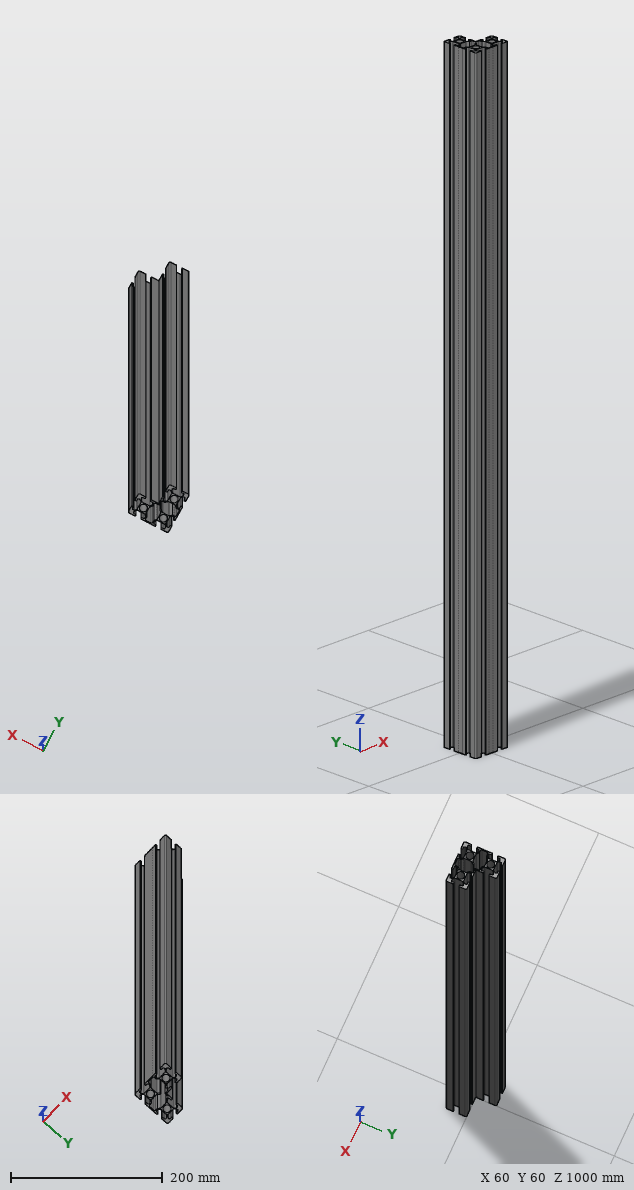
import cadquery as cq
import math


CELL = 30.0
LENGTH = 1000.0
CORNER_RADIUS = 2.0

SLOT_OPENING = 8.1
SLOT_DEPTH = 8.5
MOUTH_CHAMFER = 0.35
LIP_THICKNESS = 2.5
LIP_RADIUS = 0.5
CAVITY_WIDTH = 16.5
CAVITY_STRAIGHT = 3.0
CAVITY_RADIUS = 1.25
FLOOR_WIDTH = 12.0
FLOOR_RADIUS = 1.0

BORE_DIAMETER = 10.5
WALL = 1.5
CHAMBER_END_WIDTH = 10.5
CHAMBER_SHOULDER = 17.0
CHAMBER_FLOOR = 10.0
CHAMBER_RADIUS = 1.5

HALF_CELL = CELL / 2
CORNER_CELL = (HALF_CELL, HALF_CELL)
X_CELL = (HALF_CELL + CELL, HALF_CELL)
Y_CELL = (HALF_CELL, HALF_CELL + CELL)
CELLS = [CORNER_CELL, X_CELL, Y_CELL]

SLOT_SIDES = [
    (CORNER_CELL, (180, 270)),
    (X_CELL, (0, 90, 270)),
    (Y_CELL, (0, 90, 180)),
]


def rounded_corner(before, corner, after, radius):
    """Start, middle and end of the arc that rounds a corner of a polygon."""
    to_before = (before - corner).normalized()
    to_after = (after - corner).normalized()
    half_angle = math.acos(to_before.dot(to_after)) / 2
    setback = radius / math.tan(half_angle)
    middle_distance = radius / math.sin(half_angle) - radius
    middle = corner + (to_before + to_after).normalized() * middle_distance
    return corner + to_before * setback, middle, corner + to_after * setback


def rounded_prism(corners):
    """Full-length prism on a polygon given as (x, y, corner radius)."""
    points = [cq.Vector(x, y) for x, y, _ in corners]
    edges = []
    ends = []
    for i, (_, _, radius) in enumerate(corners):
        corner = points[i]
        if radius == 0:
            ends.append((corner, corner))
            continue
        after = points[(i + 1) % len(points)]
        start, middle, end = rounded_corner(points[i - 1], corner, after, radius)
        edges.append(cq.Edge.makeThreePointArc(start, middle, end))
        ends.append((start, end))
    for i, (start, _) in enumerate(ends):
        edges.append(cq.Edge.makeLine(ends[i - 1][1], start))
    wire = cq.Wire.assembleEdges(edges)
    return cq.Workplane(cq.Solid.extrudeLinear(wire, [], cq.Vector(0, 0, LENGTH)))


def mirrored(half):
    """Complete an outline that is symmetric about the X axis from its +Y half."""
    return half + [(x, -y, radius) for x, y, radius in reversed(half)]


def placed(cutter, centre, angle):
    """Turn a cutter about Z and move it to its place in the section."""
    return cutter.rotate((0, 0, 0), (0, 0, 1), angle).translate((*centre, 0))


def make_body():
    """Solid L-shaped bar, rounded along its outer corners and sharp along the inner one."""
    side = 2 * CELL
    return rounded_prism([
        (0, 0, CORNER_RADIUS),
        (side, 0, CORNER_RADIUS),
        (side, CELL, CORNER_RADIUS),
        (CELL, CELL, 0),
        (CELL, side, CORNER_RADIUS),
        (0, side, CORNER_RADIUS),
    ])


def make_slot():
    """T-slot cutter for the +X side of a cell centred on the origin."""
    half_opening = SLOT_OPENING / 2
    half_cavity = CAVITY_WIDTH / 2
    lip = HALF_CELL - LIP_THICKNESS
    return rounded_prism(mirrored([
        (HALF_CELL, half_opening + MOUTH_CHAMFER, 0),
        (HALF_CELL - MOUTH_CHAMFER, half_opening, 0),
        (lip, half_opening, LIP_RADIUS),
        (lip, half_cavity, CAVITY_RADIUS),
        (lip - CAVITY_STRAIGHT, half_cavity, 0),
        (HALF_CELL - SLOT_DEPTH, FLOOR_WIDTH / 2, FLOOR_RADIUS),
    ]))


def make_chamber():
    """Chamber cutter centred on a joint: narrow at both ends along Y, wide between the cell cores."""
    half_end = CHAMBER_END_WIDTH / 2
    end = HALF_CELL - WALL
    return rounded_prism(mirrored([
        (-SLOT_DEPTH, CHAMBER_FLOOR / 2, CHAMBER_RADIUS),
        (-half_end, CHAMBER_SHOULDER / 2, 0),
        (-half_end, end, CHAMBER_RADIUS),
        (half_end, end, CHAMBER_RADIUS),
        (half_end, CHAMBER_SHOULDER / 2, 0),
        (SLOT_DEPTH, CHAMBER_FLOOR / 2, CHAMBER_RADIUS),
    ]))


def make_bores():
    """Round bores through the cell centres."""
    return cq.Workplane("XY").pushPoints(CELLS).circle(BORE_DIAMETER / 2).extrude(LENGTH)


result = make_body()
for cell_centre, angles in SLOT_SIDES:
    for side_angle in angles:
        result = result.cut(placed(make_slot(), cell_centre, side_angle))
result = result.cut(placed(make_chamber(), (CELL, HALF_CELL), 0))
result = result.cut(placed(make_chamber(), (HALF_CELL, CELL), 90))
result = result.cut(make_bores())